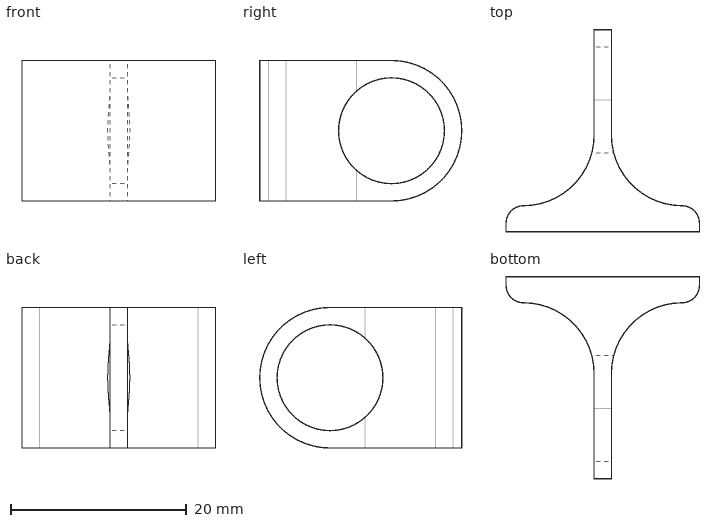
import cadquery as cq

base_width = 22.0
total_depth = 23.0
height = 16.0
web_thickness = 2.0
corner_radius = 2.0
base_thickness = 3.0
hole_diameter = 12.0

half_width = base_width / 2
half_web = web_thickness / 2
eye_radius = height / 2
eye_center_y = total_depth - eye_radius
edge_height = base_thickness - corner_radius
flare_radius = half_width - corner_radius - half_web
flare_top_y = base_thickness + flare_radius


def flared_bracket():
    """T-shaped plan: a base with rounded corners sweeping into a thin web."""
    return (
        cq.Workplane("XY")
        .moveTo(-half_width, 0)
        .lineTo(half_width, 0)
        .lineTo(half_width, edge_height)
        .tangentArcPoint((half_width - corner_radius, base_thickness), relative=False)
        .radiusArc((half_web, flare_top_y), flare_radius)
        .lineTo(half_web, total_depth)
        .lineTo(-half_web, total_depth)
        .lineTo(-half_web, flare_top_y)
        .radiusArc((corner_radius - half_width, base_thickness), flare_radius)
        .tangentArcPoint((-half_width, edge_height), relative=False)
        .close()
        .extrude(eye_radius, both=True)
    )


def side_envelope():
    """Side outline, with the free end of the web rounded into an eye."""
    return (
        cq.Workplane("YZ")
        .moveTo(0, -eye_radius)
        .lineTo(eye_center_y, -eye_radius)
        .threePointArc((total_depth, 0), (eye_center_y, eye_radius))
        .lineTo(0, eye_radius)
        .close()
        .extrude(half_width, both=True)
    )


def eye_hole():
    """Round hole through the web and the start of the flares."""
    return (
        cq.Workplane("YZ")
        .center(eye_center_y, 0)
        .circle(hole_diameter / 2)
        .extrude(half_width, both=True)
    )


result = flared_bracket().intersect(side_envelope()).cut(eye_hole())